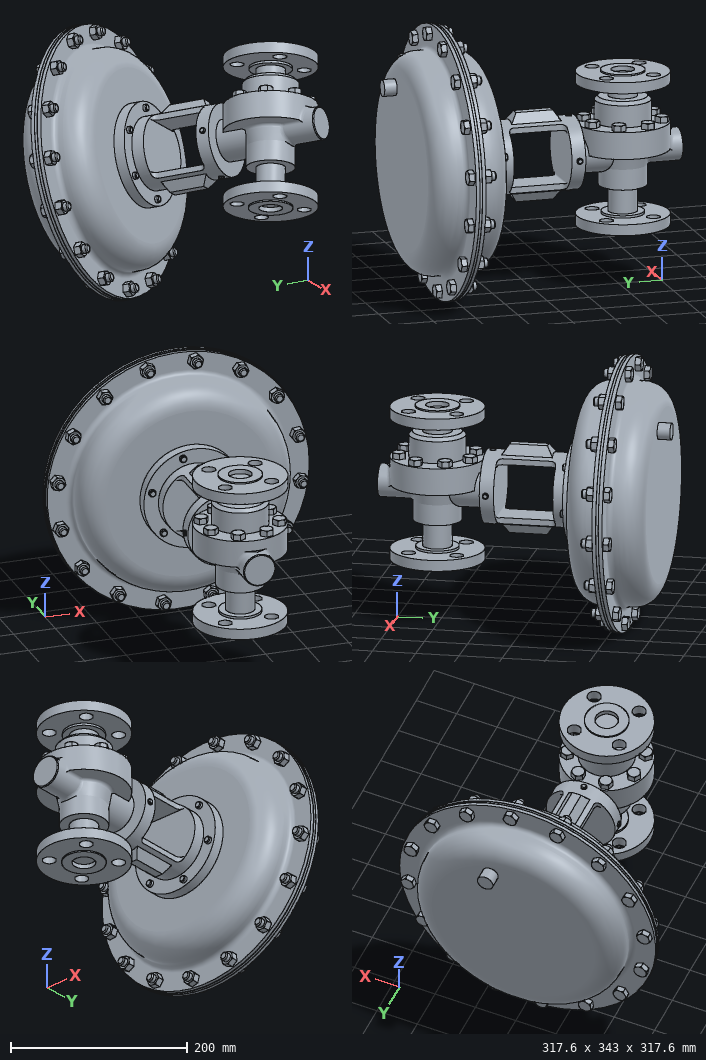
import cadquery as cq
import math


DOME_R = 128.5
DOME_CORNER_R = 27.5
DOME_ROOT_R = 6.5
BACK_RIM_R = 158.8
DIAPHRAGM_R = 158.5
FRONT_RIM_R = 157.8
CASE_BACK_Y = 261.7
RIM_BACK_Y = 222.3
DIAPHRAGM_BACK_Y = 217.8
DIAPHRAGM_FRONT_Y = 214.7
RIM_FRONT_Y = 210.3
CASE_FRONT_Y = 170.0

PIPE_R = 9.5
PIPE_END_Y = 276.5
PIPE_CIRCLE_R = 89.0

CASE_BOLT_COUNT = 16
CASE_BOLT_PITCH = 360 / CASE_BOLT_COUNT
CASE_BOLT_START = 15
CASE_BOLT_CIRCLE_R = 147.5
PIPE_ANGLE = CASE_BOLT_START + 2.5 * CASE_BOLT_PITCH
CASE_BOLT_R = 5.0
CASE_NUT_FLATS = 15.0
CASE_NUT_H = 8.2
CASE_HEAD_H = 7.0
CASE_BOLT_STICKOUT = 6.2
CASE_NUT_TURN = -7.5
CASE_HEAD_TURN = CASE_NUT_TURN + 30
BOLT_END_CHAMFER = 1.5
HEX_CHAMFER = 1.0

PLATE_R = 60.5
PLATE_FRONT_Y = 156.8
PLATE_SCREW_COUNT = 6
PLATE_SCREW_START = 45
PLATE_SCREW_CIRCLE_R = 52.5
PLATE_SCREW_R = 4.0
PLATE_SCREW_H = 4.0

YOKE_R = 43.0
YOKE_FRONT_Y = 57.0
WINDOW_BACK_Y = 141.5
WINDOW_FRONT_Y = 73.5
WINDOW_HALF_H = 31.2
WINDOW_CORNER_R = 2.5
LEG_HALF_W = 19.2
LEG_CORNER_R = 6.5
RIB_BASE_HALF_W = 13.0
RIB_BACK_Y = 136.0
RIB_FRONT_Y = 77.0
RIB_TOP_Z = 52.5
RIB_SLOPE_RUN = 7.5
SET_SCREW_COUNT = 4
SET_SCREW_Y = 64.0
SET_SCREW_R = 3.5
SET_SCREW_STICKOUT = 2.5
SCREW_CHAMFER = 1.0

FLANGE_R = 54.2
FLANGE_FACE_TOP_Z = 90.5
FLANGE_FACE_BOTTOM_Z = -89.2
FLANGE_T = 13.0
RAISED_FACE_R = 25.5
RAISED_FACE_H = 1.7
FLANGE_HUB_R = 24.7
FLANGE_HUB_H = 2.7
FLANGE_HOLE_COUNT = 4
FLANGE_HOLE_CIRCLE_R = 39.5
FLANGE_HOLE_R = 8.0
BORE_R = 13.5
BORE_DEPTH = 5.5
PORT_R = 16.8
BONNET_R = 32.5
BONNET_TOP_Z = 61.7
BONNET_CHAMFER = 4.0
COVER_TOP_Z = 32.0
COVER_JOINT_Z = 19.2
COVER_BOTTOM_Z = 0.5
BODY_ROOT_R = 4.5
BODY_CONE_R = 31.2
BODY_CONE_END_Z = -19.0
BODY_R = 28.0
BODY_BOTTOM_Z = -42.5
NECK_R = 25.5
STUB_R = 19.2
STUB_END_Y = -66.5
STUB_CHAMFER = 1.0
STUB_ROOT_R = 4.5

BONNET_BOLT_COUNT = 8
BONNET_BOLT_CIRCLE_R = 44.5
BONNET_BOLT_FLATS = 14.5
BONNET_BOLT_H = 7.2
BONNET_BOLT_TURN = 22.5


def cylinder_y(radius, y_start, y_end):
    """Cylinder about the Y axis, running towards -Y from y_start to y_end."""
    return cq.Workplane("XZ", origin=(0, y_start, 0)).circle(radius).extrude(y_start - y_end)


def cylinder_z(radius, z_low, z_high):
    """Cylinder about the Z axis between two heights."""
    return cq.Workplane("XY", origin=(0, 0, z_low)).circle(radius).extrude(z_high - z_low)


def hex_block(plane, flats, height, turn):
    """Hexagon on the given plane, with the corners of its outer end bevelled off."""
    corner_r = flats / 2 / math.cos(math.pi / 6)
    bevel = cq.Workplane(plane).circle(corner_r).extrude(height)
    bevel = bevel.edges(cq.selectors.DirectionMinMaxSelector(plane.zDir, True)).chamfer(HEX_CHAMFER)
    prism = cq.Workplane(plane).transformed(rotate=(0, 0, turn)).polygon(6, 2 * corner_r).extrude(height)
    return prism.intersect(bevel)


def ring_about_y(shape, count, start):
    """Equally spaced copies of a shape on +X, turned from +X towards +Z."""
    return [shape.rotate((0, 0, 0), (0, -1, 0), start + i * 360 / count) for i in range(count)]


def ring_about_z(shape, count, start):
    """Equally spaced copies of a shape on +X, turned from +X towards +Y."""
    return [shape.rotate((0, 0, 0), (0, 0, 1), start + i * 360 / count) for i in range(count)]


def join(base, shapes):
    """One solid fused from a base and a list of other shapes."""
    return base.newObject([base.val().fuse(*[shape.val() for shape in shapes]).clean()])


def make_case():
    """Both domed covers and their rims, turned about the Y axis."""
    arc = math.sqrt(0.5)
    flat_r = DOME_R - DOME_CORNER_R
    root_r = DOME_R + DOME_ROOT_R
    corner_mid = flat_r + DOME_CORNER_R * arc
    root_mid = root_r - DOME_ROOT_R * arc
    front_corner_y = CASE_FRONT_Y + DOME_CORNER_R
    front_root_y = RIM_FRONT_Y - DOME_ROOT_R
    back_corner_y = CASE_BACK_Y - DOME_CORNER_R
    back_root_y = RIM_BACK_Y + DOME_ROOT_R
    case = (
        cq.Workplane("XY")
        .moveTo(0, CASE_FRONT_Y)
        .lineTo(flat_r, CASE_FRONT_Y)
        .threePointArc((corner_mid, front_corner_y - DOME_CORNER_R * arc), (DOME_R, front_corner_y))
        .lineTo(DOME_R, front_root_y)
        .threePointArc((root_mid, front_root_y + DOME_ROOT_R * arc), (root_r, RIM_FRONT_Y))
        .lineTo(FRONT_RIM_R, RIM_FRONT_Y)
        .lineTo(FRONT_RIM_R, DIAPHRAGM_FRONT_Y)
        .lineTo(DIAPHRAGM_R, DIAPHRAGM_FRONT_Y)
        .lineTo(DIAPHRAGM_R, DIAPHRAGM_BACK_Y)
        .lineTo(BACK_RIM_R, DIAPHRAGM_BACK_Y)
        .lineTo(BACK_RIM_R, RIM_BACK_Y)
        .lineTo(root_r, RIM_BACK_Y)
        .threePointArc((root_mid, back_root_y - DOME_ROOT_R * arc), (DOME_R, back_root_y))
        .lineTo(DOME_R, back_corner_y)
        .threePointArc((corner_mid, back_corner_y + DOME_CORNER_R * arc), (flat_r, CASE_BACK_Y))
        .lineTo(0, CASE_BACK_Y)
        .close()
        .revolve(360, (0, 0, 0), (0, 1, 0))
    )
    pipe = cylinder_y(PIPE_R, PIPE_END_Y, RIM_BACK_Y).translate((PIPE_CIRCLE_R, 0, 0))
    return case.union(pipe.rotate((0, 0, 0), (0, -1, 0), PIPE_ANGLE))


def make_case_bolts():
    """Bolt heads on the back rim, nuts and bolt ends on the front rim."""
    nut_plane = cq.Plane((CASE_BOLT_CIRCLE_R, RIM_FRONT_Y, 0), (1, 0, 0), (0, -1, 0))
    head_plane = cq.Plane((CASE_BOLT_CIRCLE_R, RIM_BACK_Y, 0), (1, 0, 0), (0, 1, 0))
    nut = hex_block(nut_plane, CASE_NUT_FLATS, CASE_NUT_H, CASE_NUT_TURN)
    head = hex_block(head_plane, CASE_NUT_FLATS, CASE_HEAD_H, -CASE_HEAD_TURN)
    shank = cylinder_y(CASE_BOLT_R, RIM_FRONT_Y, RIM_FRONT_Y - CASE_NUT_H - CASE_BOLT_STICKOUT)
    shank = shank.faces("<Y").chamfer(BOLT_END_CHAMFER).translate((CASE_BOLT_CIRCLE_R, 0, 0))
    front_part = nut.union(shank)
    return [
        copy
        for piece in (front_part, head)
        for copy in ring_about_y(piece, CASE_BOLT_COUNT, CASE_BOLT_START)
    ]


def make_plate():
    """Round mounting plate with its ring of screw heads."""
    plate = cylinder_y(PLATE_R, CASE_FRONT_Y, PLATE_FRONT_Y)
    screw = cylinder_y(PLATE_SCREW_R, PLATE_FRONT_Y, PLATE_FRONT_Y - PLATE_SCREW_H)
    screw = screw.faces("<Y").chamfer(SCREW_CHAMFER).translate((PLATE_SCREW_CIRCLE_R, 0, 0))
    return join(plate, ring_about_y(screw, PLATE_SCREW_COUNT, PLATE_SCREW_START))


def make_rib():
    """Tapered stiffener on the outside of the upper leg."""
    base_z = math.sqrt(YOKE_R**2 - RIB_BASE_HALF_W**2)
    width = 2 * RIB_BASE_HALF_W
    length = RIB_BACK_Y - RIB_FRONT_Y
    middle_y = (RIB_BACK_Y + RIB_FRONT_Y) / 2
    return (
        cq.Workplane("XY", origin=(0, middle_y, base_z))
        .rect(width, length)
        .workplane(offset=RIB_TOP_Z - base_z)
        .rect(width - 2 * RIB_SLOPE_RUN, length - 2 * RIB_SLOPE_RUN)
        .loft()
    )


def make_yoke():
    """Round column opened by a window, leaving two legs with outer ribs."""
    yoke = cylinder_y(YOKE_R, PLATE_FRONT_Y, YOKE_FRONT_Y)
    window_y = (WINDOW_BACK_Y + WINDOW_FRONT_Y) / 2
    window_length = WINDOW_BACK_Y - WINDOW_FRONT_Y
    window = cq.Workplane("XY").box(2 * YOKE_R, window_length, 2 * WINDOW_HALF_H)
    window = window.edges("|X and <Y").fillet(WINDOW_CORNER_R)
    yoke = yoke.cut(window.translate((0, window_y, 0)))
    side = cq.Workplane("XY").box(YOKE_R, window_length, 2 * YOKE_R)
    side = side.translate((YOKE_R / 2 + LEG_HALF_W, 0, 0))
    side = side.edges("|Z and <X").fillet(LEG_CORNER_R).translate((0, window_y, 0))
    yoke = yoke.cut(side).cut(side.mirror("YZ"))
    rib = make_rib()
    yoke = yoke.union(rib).union(rib.mirror("XY"))
    set_screw = cq.Workplane("YZ", origin=(0, SET_SCREW_Y, 0)).circle(SET_SCREW_R)
    set_screw = set_screw.extrude(YOKE_R + SET_SCREW_STICKOUT).faces(">X").chamfer(SCREW_CHAMFER)
    return join(yoke, ring_about_y(set_screw, SET_SCREW_COUNT, 0))


def make_bowl():
    """Bolted body flange over a tapering bowl, with the front stub blended into both."""
    root_z = COVER_BOTTOM_Z - BODY_ROOT_R
    taper = (BODY_CONE_R - BODY_R) / (root_z - BODY_CONE_END_Z)
    bowl_bottom_z = -STUB_R - 2 * STUB_ROOT_R
    bowl_bottom_r = BODY_CONE_R - taper * (root_z - bowl_bottom_z)
    bowl = (
        cq.Workplane("XZ")
        .moveTo(0, COVER_TOP_Z)
        .lineTo(FLANGE_R, COVER_TOP_Z)
        .lineTo(FLANGE_R, COVER_BOTTOM_Z)
        .lineTo(BODY_CONE_R + BODY_ROOT_R, COVER_BOTTOM_Z)
        .radiusArc((BODY_CONE_R, root_z), -BODY_ROOT_R)
        .lineTo(bowl_bottom_r, bowl_bottom_z)
        .lineTo(0, bowl_bottom_z)
        .close()
        .revolve(360, (0, 0, 0), (0, 1, 0))
    )
    stub = cylinder_y(STUB_R, 0, STUB_END_Y).rotate((0, 0, 0), (0, 1, 0), 90)
    joint_low = (-BODY_R, -FLANGE_R, -BODY_R)
    joint_high = (BODY_R, -STUB_R, COVER_TOP_Z - STUB_ROOT_R)
    bowl = bowl.union(stub)
    return bowl.edges(cq.selectors.BoxSelector(joint_low, joint_high)).fillet(STUB_ROOT_R)


def make_valve_body():
    """Body, bonnet and both pipe flanges on the flow axis, and the neck to the yoke."""
    neck = cylinder_y(NECK_R, YOKE_FRONT_Y, 0)
    above_joint = cylinder_z(2 * FLANGE_R, COVER_JOINT_Z, BONNET_TOP_Z)
    body = make_bowl().union(neck).cut(above_joint)
    barrel = cylinder_z(BODY_R, BODY_BOTTOM_Z, BODY_CONE_END_Z)
    cover = cylinder_z(FLANGE_R, COVER_JOINT_Z, COVER_TOP_Z)
    body = body.faces("<Y").chamfer(STUB_CHAMFER)
    bonnet = cylinder_z(BONNET_R, COVER_TOP_Z, BONNET_TOP_Z).faces(">Z").chamfer(BONNET_CHAMFER)
    ports = cylinder_z(PORT_R, FLANGE_FACE_BOTTOM_Z + FLANGE_T, FLANGE_FACE_TOP_Z - FLANGE_T)
    flange = make_flange()
    top_flange = flange.translate((0, 0, FLANGE_FACE_TOP_Z))
    bottom_flange = flange.mirror("XY").translate((0, 0, FLANGE_FACE_BOTTOM_Z))
    return join(body, [barrel, cover, bonnet, ports, top_flange, bottom_flange])


def make_flange():
    """Pipe flange facing +Z with its face at Z = 0."""
    disc = cylinder_z(FLANGE_R, -FLANGE_T, 0)
    raised_face = cylinder_z(RAISED_FACE_R, 0, RAISED_FACE_H)
    hub = cylinder_z(FLANGE_HUB_R, -FLANGE_T - FLANGE_HUB_H, -FLANGE_T)
    bore = cylinder_z(BORE_R, RAISED_FACE_H - BORE_DEPTH, RAISED_FACE_H)
    hole = cylinder_z(FLANGE_HOLE_R, -FLANGE_T, 0).translate((FLANGE_HOLE_CIRCLE_R, 0, 0))
    flange = join(disc, [raised_face, hub]).cut(bore)
    for copy in ring_about_z(hole, FLANGE_HOLE_COUNT, 180 / FLANGE_HOLE_COUNT):
        flange = flange.cut(copy)
    return flange


def make_bonnet_bolts():
    """Ring of hexagon heads on the bonnet cover."""
    plane = cq.Plane((BONNET_BOLT_CIRCLE_R, 0, COVER_TOP_Z), (1, 0, 0), (0, 0, 1))
    head = hex_block(plane, BONNET_BOLT_FLATS, BONNET_BOLT_H, BONNET_BOLT_TURN)
    return ring_about_z(head, BONNET_BOLT_COUNT, 180 / BONNET_BOLT_COUNT)


actuator = join(make_case(), make_case_bolts() + [make_plate(), make_yoke()])
result = join(actuator, [make_valve_body()] + make_bonnet_bolts())